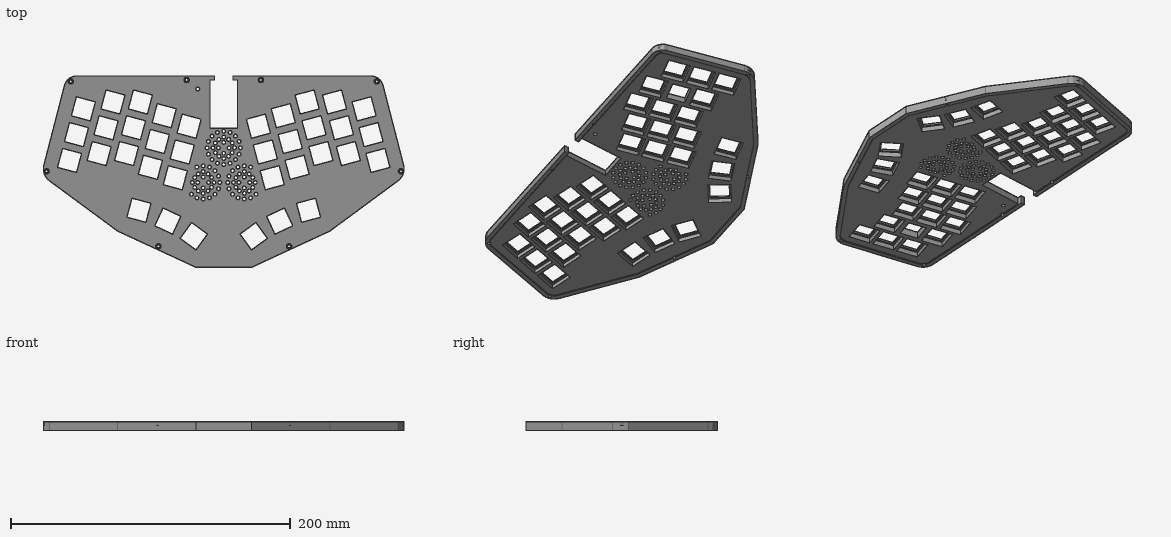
import cadquery as cq
import math

LENGTH = 258.0
WIDTH = 137.0
THICKNESS = 6.5
BACK_Y = WIDTH / 2
FRONT_Y = -WIDTH / 2

FRONT_EDGE_HALF_LENGTH = 20.0
BEND_POINT = (76.0, -42.5)
SIDE_SLOPE = 36.4
SIDE_EDGE_TURN = 14.5
SIDE_CORNER_RADIUS = 10.8
BACK_CORNER_RADIUS = 9.3

RIM_WIDTH = 3.0
RECESS_DEPTH = 1.0

BAY_WIDTH = 19.5
BAY_DEPTH = 37.5
MOUTH_WIDTH = 13.2

KEY_SIZE = 14.0
RELIEF_SIZE = 16.5
LIP_THICKNESS = 1.5
KEY_PITCH = 19.0
KEYS_PER_COLUMN = 3
COLUMN_TURN = 15.0
COLUMN_STARTS = [(24.8, 32.5), (42.5, 40.0), (59.5, 49.8), (79.2, 49.8), (100.5, 45.0)]
THUMB_KEYS = [(60.7, -27.5, 15.0), (40.0, -35.4, 25.0), (21.5, -46.2, 36.0)]
PLAIN_KEY_COLUMN = 3
PLAIN_KEY_ROW = 1

SOUND_HOLE_DIAMETER = 2.5
CROSS_RADII = [4.0, 7.7]
CROSS_COUNT = 4
MIDDLE_RING_RADIUS = 7.0
MIDDLE_RING_COUNT = 12
OUTER_RING_RADIUS = 12.0
OUTER_RING_COUNT = 16
BACK_CLUSTER = (0.0, 17.0)
FRONT_CLUSTER = (14.7, -7.7)
OMITTED_OUTER_HOLES = [15, 0, 1, 2]

SCREW_POINTS = [(109.5, 64.5), (126.7, 0.3), (26.5, 65.5), (46.7, -53.5)]
SCREW_DIAMETER = 2.1
SEAT_DIAMETER = 3.4
SEAT_DEPTH = 2.8
MOUTH_DIAMETER = 4.0
TAPER_DEPTH = 1.5

PIN_HOLE_POINT = (-18.5, 59.0)
PIN_HOLE_DIAMETER = 2.5


def polar(center, radius, degrees):
    angle = math.radians(degrees)
    return (center[0] + radius * math.cos(angle), center[1] + radius * math.sin(angle))


def mirror(points):
    return [(-x, y) for x, y in points]


def outline():
    slope = math.radians(SIDE_SLOPE)
    turn = math.radians(SIDE_EDGE_TURN)

    side_x = LENGTH / 2 - SIDE_CORNER_RADIUS
    rise = (SIDE_CORNER_RADIUS + (side_x - BEND_POINT[0]) * math.sin(slope)) / math.cos(slope)
    side_center = (side_x, BEND_POINT[1] + rise)

    back_y = BACK_Y - BACK_CORNER_RADIUS
    radius_change = SIDE_CORNER_RADIUS - BACK_CORNER_RADIUS
    back_x = side_x + radius_change / math.cos(turn) - (back_y - side_center[1]) * math.tan(turn)
    back_center = (back_x, back_y)

    side_arc_start = SIDE_SLOPE - 90
    side_arc_angles = [side_arc_start, (side_arc_start + SIDE_EDGE_TURN) / 2, SIDE_EDGE_TURN]
    back_arc_angles = [SIDE_EDGE_TURN, (SIDE_EDGE_TURN + 90) / 2, 90]
    side_arc = [polar(side_center, SIDE_CORNER_RADIUS, angle) for angle in side_arc_angles]
    back_arc = [polar(back_center, BACK_CORNER_RADIUS, angle) for angle in back_arc_angles]
    left_side_arc = mirror(reversed(side_arc))
    left_back_arc = mirror(reversed(back_arc))

    return (
        cq.Workplane("XY")
        .moveTo(-FRONT_EDGE_HALF_LENGTH, FRONT_Y)
        .lineTo(FRONT_EDGE_HALF_LENGTH, FRONT_Y)
        .lineTo(*BEND_POINT)
        .lineTo(*side_arc[0])
        .threePointArc(side_arc[1], side_arc[2])
        .lineTo(*back_arc[0])
        .threePointArc(back_arc[1], back_arc[2])
        .lineTo(*left_back_arc[0])
        .threePointArc(left_back_arc[1], left_back_arc[2])
        .lineTo(*left_side_arc[0])
        .threePointArc(left_side_arc[1], left_side_arc[2])
        .lineTo(-BEND_POINT[0], BEND_POINT[1])
        .close()
    )


def bay_slot(width, length):
    """Straight slot running from the front end of the bay toward the back edge."""
    corner = cq.Vector(-width / 2, BACK_Y - BAY_DEPTH, 0)
    return cq.Solid.makeBox(width, length, THICKNESS, corner)


def square_prism(size, height, x, y, turn):
    prism = cq.Workplane("XY").rect(size, size).extrude(height)
    return prism.rotate((0, 0, 0), (0, 0, 1), turn).translate((x, y, 0)).val()


def column_key(column, row):
    x, y = COLUMN_STARTS[column]
    return (*polar((x, y), row * KEY_PITCH, COLUMN_TURN - 90), COLUMN_TURN)


def key_cutters():
    plain_key = column_key(PLAIN_KEY_COLUMN, PLAIN_KEY_ROW)
    columns = range(len(COLUMN_STARTS))
    keys = [column_key(column, row) for column in columns for row in range(KEYS_PER_COLUMN)]
    openings = []
    reliefs = []
    for key in keys + THUMB_KEYS:
        x, y, turn = key
        for side in (1, -1):
            place = (side * x, y, side * turn)
            openings.append(square_prism(KEY_SIZE, THICKNESS, *place))
            if side == 1 or key != plain_key:
                reliefs.append(square_prism(RELIEF_SIZE, THICKNESS - LIP_THICKNESS, *place))
    return openings, reliefs


def ring(center, radius, count):
    return [polar(center, radius, 360 * i / count) for i in range(count)]


def sound_cluster(center, omitted=()):
    points = []
    for radius in CROSS_RADII:
        points += ring(center, radius, CROSS_COUNT)
    arm_step = MIDDLE_RING_COUNT // CROSS_COUNT
    middle = ring(center, MIDDLE_RING_RADIUS, MIDDLE_RING_COUNT)
    points += [point for i, point in enumerate(middle) if i % arm_step]
    outer = ring(center, OUTER_RING_RADIUS, OUTER_RING_COUNT)
    points += [point for i, point in enumerate(outer) if i not in omitted]
    return points


def cylinders(points, diameter, depth):
    """Cylinders reaching down from the top face."""
    bottom = THICKNESS - depth
    return [cq.Solid.makeCylinder(diameter / 2, depth, cq.Vector(x, y, bottom)) for x, y in points]


def tapers(points):
    bottom = THICKNESS - TAPER_DEPTH
    return [
        cq.Solid.makeCone(SEAT_DIAMETER / 2, MOUTH_DIAMETER / 2, TAPER_DEPTH, cq.Vector(x, y, bottom))
        for x, y in points
    ]


def cut_all(body, cutters):
    return body.cut(cq.Workplane(cq.Compound.makeCompound(cutters)))


plate = outline().extrude(THICKNESS)
plate = plate.cut(outline().offset2D(-RIM_WIDTH).extrude(RECESS_DEPTH))

plate = cut_all(plate, [bay_slot(BAY_WIDTH, BAY_DEPTH - RIM_WIDTH)])
plate = cut_all(plate, [bay_slot(MOUTH_WIDTH, BAY_DEPTH)])
key_openings, key_reliefs = key_cutters()
plate = cut_all(plate, key_openings)
plate = cut_all(plate, key_reliefs)

front_holes = sound_cluster(FRONT_CLUSTER, OMITTED_OUTER_HOLES)
sound_holes = sound_cluster(BACK_CLUSTER) + front_holes + mirror(front_holes)
plate = cut_all(plate, cylinders(sound_holes, SOUND_HOLE_DIAMETER, THICKNESS))

screws = SCREW_POINTS + mirror(SCREW_POINTS)
plate = cut_all(plate, cylinders(screws, SCREW_DIAMETER, THICKNESS))
plate = cut_all(plate, cylinders(screws, SEAT_DIAMETER, SEAT_DEPTH))
plate = cut_all(plate, tapers(screws))
plate = cut_all(plate, cylinders([PIN_HOLE_POINT], PIN_HOLE_DIAMETER, THICKNESS))

result = plate